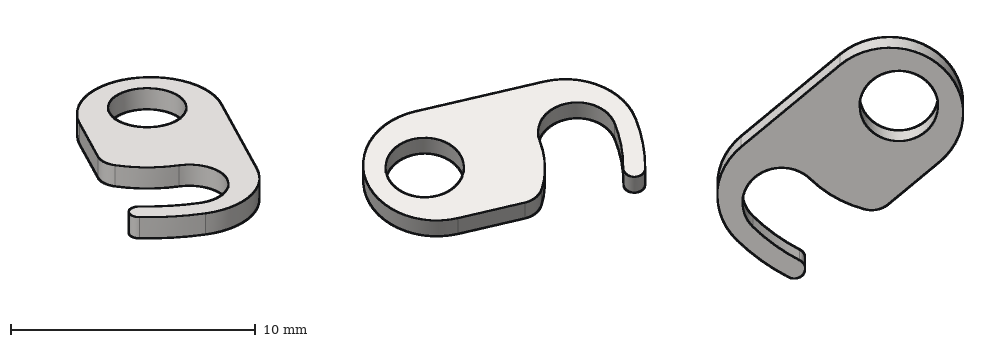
import cadquery as cq
import math

length = 11.5
width = 6.0
thickness = 1.0
hole_radius = 1.6
wall = 0.9
corner_radius = 1.0

end_radius = width / 2
left_x = -(hole_radius + wall)
right_x = left_x + length
left_end_x = left_x + end_radius
right_end_x = right_x - end_radius
seat_x = right_x - wall - hole_radius

mouth_inner_radius = seat_x - hole_radius
mouth_outer_radius = seat_x + hole_radius
arm_outer_radius = right_x

tip_radius = wall / 2
tip_path_radius = mouth_outer_radius + tip_radius
tip_angle = -math.asin((end_radius - tip_radius) / tip_path_radius)

corner_path_radius = mouth_inner_radius - corner_radius
corner_angle = -math.asin((end_radius - corner_radius) / corner_path_radius)
corner_x = corner_path_radius * math.cos(corner_angle)
corner_y = corner_radius - end_radius
corner_mid_angle = (corner_angle - math.pi / 2) / 2


def polar(radius, angle, center=(0, 0)):
    """Point at a radius and angle about a centre."""
    return (center[0] + radius * math.cos(angle), center[1] + radius * math.sin(angle))


def make_outline():
    """Closed plate outline, clockwise from the bottom of the left end."""
    diagonal = math.pi / 4
    tip_center = polar(tip_path_radius, tip_angle)
    return (
        cq.Workplane("XY")
        .moveTo(left_end_x, -end_radius)
        .threePointArc((left_x, 0), (left_end_x, end_radius))
        .lineTo(right_end_x, end_radius)
        .threePointArc(polar(end_radius, diagonal, (right_end_x, 0)), (right_x, 0))
        .threePointArc(polar(arm_outer_radius, tip_angle / 2), polar(arm_outer_radius, tip_angle))
        .threePointArc(
            polar(tip_radius, tip_angle - math.pi / 2, tip_center),
            polar(mouth_outer_radius, tip_angle),
        )
        .threePointArc(polar(mouth_outer_radius, tip_angle / 2), (mouth_outer_radius, 0))
        .threePointArc((seat_x, hole_radius), (mouth_inner_radius, 0))
        .threePointArc(
            polar(mouth_inner_radius, corner_angle / 2),
            polar(mouth_inner_radius, corner_angle),
        )
        .threePointArc(
            polar(corner_radius, corner_mid_angle, (corner_x, corner_y)),
            (corner_x, -end_radius),
        )
        .close()
    )


plate = make_outline().extrude(thickness)
pivot_hole = cq.Workplane("XY").circle(hole_radius).extrude(thickness)
result = plate.cut(pivot_hole)